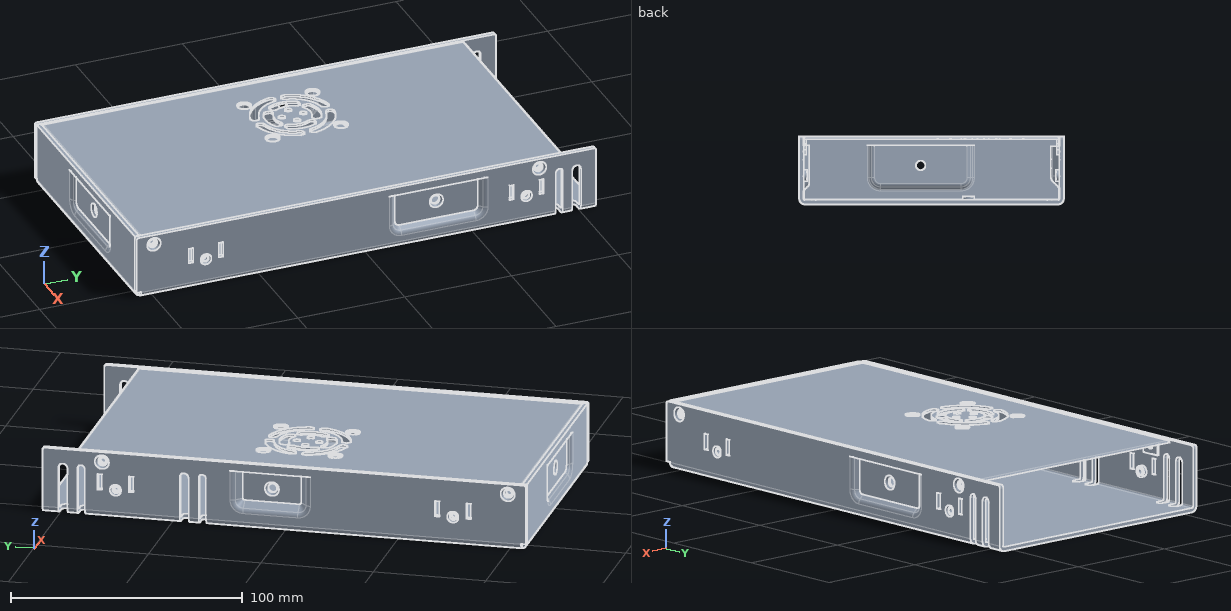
import cadquery as cq
import math

width, length, height = 114.5, 215.0, 29.5
sheet = 2.0
bend_radius = 2.75
half_width, half_length = width / 2, length / 2
joint_gap = 0.2
relief = sheet + joint_gap
wall_corner_radius = 1.0
SIDES = (-1, 1)

rear_slots = ((98.4, 4.0), (90.3, 3.3))
middle_slots = ((44.5, 4.0), (36.4, 3.3))
slot_top = 22.8
slot_reach = 7.2

mount_y, mount_z = 75.0, 12.6
floor_mount = (-15.9, 10.5)
mount_entry_radius = 0.85
mount_bore = 3.3
collar_diameter = mount_bore + 2 * mount_entry_radius
collar_depth = 3.5
sleeve_bore = 2.5

guide_offset, guide_z = 7.0, 15.8
guide_width, guide_height = 2.0, 7.0

screw_hole, screw_head = 4.0, 6.3
cover_screw_z = 25.0
cover_screw_ys = (81.0, -99.4)

pocket_top = 25.6
pocket_corner = 5.7
pocket_mouth_radius = 3.0
flare_angle = 45.0
front_pocket = dict(wall="front", center=4.7, half=23.1, bottom=6.0, depth=1.9, hole_z=16.9, lip=0.0)
left_pocket = dict(wall="left", center=6.3, half=17.85, bottom=6.7, depth=3.66, hole_z=17.6, lip=0.4)
right_pocket = dict(wall="right", center=33.75, half=23.1, bottom=5.6, depth=2.5, hole_z=17.6, lip=0.0)

cover_sheet = 1.0
cover_top = 29.3
cover_clearance = 0.1
cover_edge_radius = 0.9
cover_rear_y = 92.4
tab_width, tab_bottom = 9.0, 21.5

fan_x, fan_y = -21.2, -1.9
fan_hole_pitch = 32.0
fan_hole, fan_hole_head = 5.3, 6.3
outer_ring_outside, outer_ring_inside = 18.6, 14.7
outer_web = 2.6
inner_ring_outside = 12.6
hub_radius = 8.4
hub_half_square = 7.0
hub_corner_radius = 1.5
hub_hole, hub_hole_circle = 3.0, 5.0


def channel_section(inset, radius):
    """Full-length solid inside the U outline that lies `inset` within the outside of the tray."""
    half = half_width - inset
    return (
        cq.Workplane("XZ", origin=(0, half_length, 0))
        .moveTo(-half, height)
        .lineTo(-half, inset + radius)
        .radiusArc((-half + radius, inset), -radius)
        .lineTo(half - radius, inset)
        .radiusArc((half, inset + radius), -radius)
        .lineTo(half, height)
        .close()
        .extrude(length)
    )


def bent_channel():
    """Floor, two bends and two side walls, with the lower front corners relieved."""
    channel = channel_section(0, bend_radius).cut(channel_section(sheet, bend_radius - sheet))
    channel = channel.edges("|X and >Z").edges("<Y or >Y").fillet(wall_corner_radius)
    front_relief = cq.Workplane("XY").box(width, relief, bend_radius, centered=(True, False, False))
    return channel.cut(front_relief.translate((0, -half_length, 0)))


def front_wall():
    """Front wall with its bend, standing between the side walls."""
    inner_radius = bend_radius - sheet
    return (
        cq.Workplane("YZ", origin=(-half_width + relief, 0, 0))
        .moveTo(-half_length, height)
        .lineTo(-half_length, bend_radius)
        .radiusArc((-half_length + bend_radius, 0), -bend_radius)
        .lineTo(-half_length + bend_radius, sheet)
        .radiusArc((-half_length + sheet, bend_radius), inner_radius)
        .lineTo(-half_length + sheet, height)
        .close()
        .extrude(width - 2 * relief)
    )


def on_wall(shape, wall):
    """Move a shape from wall coordinates onto a wall.

    In wall coordinates X runs along the wall to the right as seen from outside, Z is up,
    and +Y points into the case from the outside face.
    """
    if wall == "front":
        return shape.translate((0, -half_length, 0))
    if wall == "left":
        return shape.rotate((0, 0, 0), (0, 0, 1), -90).translate((-half_width, 0, 0))
    return shape.rotate((0, 0, 0), (0, 0, 1), 90).translate((half_width, 0, 0))


def along(wall, position):
    """Distance along a wall, in wall coordinates, of a place given by its X or Y in the case."""
    return -position if wall == "left" else position


def dish(half, drop, corner, depth):
    """Flared dish on a slab in Y < 0, reaching `drop` below Z = 0 and as far above it."""
    slab_size = 4 * half
    slab_depth = 1.0
    outline = cq.Sketch().rect(2 * half, 2 * drop).vertices().fillet(corner)
    slab = cq.Workplane("XY").box(slab_size, slab_depth, slab_size).translate((0, -slab_depth / 2, 0))
    flare = cq.Workplane("XZ").placeSketch(outline).extrude(-depth, taper=flare_angle)
    return slab.union(flare)


def mouth_edges(shape, half):
    """Edges where a dish meets its slab."""
    reach = 1.5 * half
    slack = 0.01
    box = cq.selectors.BoxSelector((-reach, -slack, -reach), (reach, slack, reach), boundingbox=True)
    return shape.edges(box)


def below(shape, top):
    """Part of a wall-coordinate shape that lies below Z = top and behind Y = 0."""
    keep = cq.Workplane("XY").box(width, bend_radius + sheet + height, height, centered=(True, False, False))
    return shape.intersect(keep.translate((0, 0, top - height)))


def countersunk_hole(depth, hole, head):
    """Cutter along +Y from the origin: a 90 degree cone from the head diameter, then a plain hole."""
    cone_depth = (head - hole) / 2
    return (
        cq.Workplane("XY")
        .lineTo(head / 2, 0)
        .lineTo(hole / 2, cone_depth)
        .lineTo(hole / 2, depth)
        .lineTo(0, depth)
        .close()
        .revolve(360, (0, 0, 0), (0, 1, 0))
    )


def press_pocket(case, wall, center, half, bottom, depth, hole_z, lip):
    """Press a dished pocket into a wall; its top edge is sheared open and it has a countersunk hole."""
    fillet_run = pocket_mouth_radius * math.tan(math.radians(flare_angle / 2))
    offset_run = sheet * math.tan(math.radians(flare_angle / 2))
    sharp_half = half - fillet_run
    sharp_drop = pocket_top - bottom - fillet_run
    sharp_corner = pocket_corner - fillet_run
    place = (along(wall, center), 0, pocket_top)

    void = dish(sharp_half, sharp_drop, sharp_corner, depth)
    void = mouth_edges(void, half).fillet(pocket_mouth_radius)
    void = below(void, 0).translate(place)

    boss = dish(sharp_half + offset_run, sharp_drop + offset_run, sharp_corner + offset_run, depth)
    boss = boss.faces(">Y").edges().fillet(sheet)
    boss = mouth_edges(boss, half).fillet(pocket_mouth_radius - sheet)
    boss = below(boss, -lip).translate(place).translate((0, sheet, 0))

    hole = countersunk_hole(2 * sheet, screw_hole, screw_head)
    hole = hole.translate((along(wall, center), depth, hole_z))
    return case.union(on_wall(boss, wall)).cut(on_wall(void, wall)).cut(on_wall(hole, wall))


def mount_collar():
    """Extruded collar of a threaded mount, along +Z from the outside face of the sheet."""
    return cq.Workplane("XY").circle(collar_diameter / 2).extrude(collar_depth)


def mount_bore_cutter():
    """Bore of a threaded mount with the rounded entry left by drawing the collar."""
    return (
        cq.Workplane("XZ")
        .lineTo(collar_diameter / 2, 0)
        .radiusArc((mount_bore / 2, mount_entry_radius), -mount_entry_radius)
        .lineTo(mount_bore / 2, collar_depth)
        .lineTo(0, collar_depth)
        .close()
        .revolve(360, (0, 0, 0), (0, 1, 0))
    )


def thread_sleeve():
    """Threaded sleeve that lines the straight part of a mount's bore."""
    return (
        cq.Workplane("XY", origin=(0, 0, mount_entry_radius))
        .circle(mount_bore / 2)
        .circle(sleeve_bore / 2)
        .extrude(collar_depth - mount_entry_radius)
    )


def at_mounts(shape):
    """Copies of a mount shape at the four side mounts and the floor mount."""
    copies = [shape.translate((*floor_mount, 0))]
    for side in SIDES:
        for y in (-mount_y, mount_y):
            turned = shape.rotate((0, 0, 0), (0, 1, 0), -90 * side)
            copies.append(turned.translate((side * half_width, y, mount_z)))
    return copies


def vent_slot(side, y, slot_width):
    """Cutter for a slot in a side wall that carries on round the bend into the floor."""
    radius = slot_width / 2
    wall_part = (
        cq.Workplane("YZ", origin=(-half_width, 0, 0))
        .moveTo(y - radius, 0)
        .lineTo(y - radius, slot_top - radius)
        .threePointArc((y, slot_top), (y + radius, slot_top - radius))
        .lineTo(y + radius, 0)
        .close()
        .extrude(bend_radius)
    )
    floor_end = -half_width + slot_reach
    floor_part = (
        cq.Workplane("XY")
        .moveTo(-half_width, y - radius)
        .lineTo(floor_end - radius, y - radius)
        .threePointArc((floor_end, y), (floor_end - radius, y + radius))
        .lineTo(-half_width, y + radius)
        .close()
        .extrude(bend_radius)
    )
    slot = wall_part.union(floor_part)
    return slot if side < 0 else slot.mirror("YZ")


def make_housing():
    """Tray with its pockets, mounts, slots and cover screw holes."""
    housing = bent_channel().union(front_wall())
    for pocket in (front_pocket, left_pocket, right_pocket):
        housing = press_pocket(housing, **pocket)

    for collar in at_mounts(mount_collar()):
        housing = housing.union(collar)
    for bore in at_mounts(mount_bore_cutter()):
        housing = housing.cut(bore)

    for y, slot_width in rear_slots:
        for side in SIDES:
            housing = housing.cut(vent_slot(side, y, slot_width))
    for y, slot_width in middle_slots:
        housing = housing.cut(vent_slot(-1, y, slot_width))

    guide_ys = [(y + offset, guide_z) for y in (-mount_y, mount_y) for offset in (-guide_offset, guide_offset)]
    guides = (
        cq.Workplane("YZ")
        .pushPoints(guide_ys)
        .rect(guide_width, guide_height)
        .extrude(half_width, both=True)
    )
    housing = housing.cut(guides)

    for wall in ("left", "right"):
        for y in cover_screw_ys:
            hole = countersunk_hole(sheet, screw_hole, screw_head)
            housing = housing.cut(on_wall(hole.translate((along(wall, y), 0, cover_screw_z)), wall))
    return housing


def grille_cutter(profile):
    """Cutter through the cover for an outline drawn about the fan's axis."""
    plane = cq.Workplane("XY", origin=(fan_x, fan_y, cover_top - cover_sheet))
    return plane.placeSketch(profile).extrude(cover_sheet)


def outer_slot():
    """Cutter for one slot of the outer ring: a band along a circle with round ends."""
    middle_radius = (outer_ring_outside + outer_ring_inside) / 2
    end_radius = (outer_ring_outside - outer_ring_inside) / 2
    start = math.asin((outer_web / 2 + end_radius) / middle_radius)
    end = math.pi / 2 - start

    def polar(radius, angle):
        return (radius * math.cos(angle), radius * math.sin(angle))

    tip_turn = end_radius / middle_radius
    return (
        cq.Workplane("XY", origin=(fan_x, fan_y, cover_top - cover_sheet))
        .moveTo(*polar(outer_ring_outside, start))
        .threePointArc(polar(outer_ring_outside, math.pi / 4), polar(outer_ring_outside, end))
        .threePointArc(polar(middle_radius, end + tip_turn), polar(outer_ring_inside, end))
        .threePointArc(polar(outer_ring_inside, math.pi / 4), polar(outer_ring_inside, start))
        .threePointArc(polar(middle_radius, start - tip_turn), polar(outer_ring_outside, start))
        .close()
        .extrude(cover_sheet)
    )


def inner_slot():
    """Cutter for one slot of the inner ring, between the hub's square and round outline and a circle."""
    side_span = 2 * hub_half_square
    strip = inner_ring_outside - hub_half_square
    bar = (
        cq.Sketch()
        .push([(0, hub_half_square + strip / 2)])
        .rect(side_span, strip)
        .reset()
        .circle(hub_radius, mode="s")
    )
    disk = cq.Sketch().circle(inner_ring_outside)
    return grille_cutter(bar).intersect(grille_cutter(disk)).edges("|Z").fillet(hub_corner_radius)


def fan_grille():
    """Cutter for the fan's ring slots, hub holes and screw holes."""
    hub_holes = grille_cutter(cq.Sketch().parray(hub_hole_circle, 0, 360, 4).circle(hub_hole / 2))

    cutter = hub_holes
    for quarter in range(4):
        for slot in (outer_slot(), inner_slot()):
            cutter = cutter.union(slot.rotate((fan_x, fan_y, 0), (fan_x, fan_y, 1), 90 * quarter))
    screw = countersunk_hole(cover_sheet, fan_hole, fan_hole_head).rotate((0, 0, 0), (1, 0, 0), -90)
    for dx in SIDES:
        for dy in SIDES:
            place = (fan_x + dx * fan_hole_pitch / 2, fan_y + dy * fan_hole_pitch / 2, cover_top)
            cutter = cutter.union(screw.translate(place))
    return cutter


def make_cover():
    """Flat lid with rounded top edges, four screw tabs and the fan grille."""
    half = half_width - sheet - cover_clearance
    front_y = -half_length + sheet + cover_clearance
    cover = (
        cq.Workplane("XY")
        .box(2 * half, cover_rear_y - front_y, cover_sheet, centered=(True, False, False))
        .translate((0, front_y, cover_top - cover_sheet))
    )
    for side in SIDES:
        for y in cover_screw_ys:
            tab = cq.Workplane("XY").box(cover_sheet, tab_width, cover_top - tab_bottom, (True, True, False))
            cover = cover.union(tab.translate((side * (half - cover_sheet / 2), y, tab_bottom)))
    cover = cover.faces(">Z").edges().fillet(cover_edge_radius)
    tab_holes = (
        cq.Workplane("YZ")
        .pushPoints([(y, cover_screw_z) for y in cover_screw_ys])
        .circle(sleeve_bore / 2)
        .extrude(half_width, both=True)
    )
    return cover.cut(tab_holes).cut(fan_grille())


housing = make_housing()
cover = make_cover()
sleeves = at_mounts(thread_sleeve())
result = cq.Compound.makeCompound([housing.val(), cover.val(), *[sleeve.val() for sleeve in sleeves]])